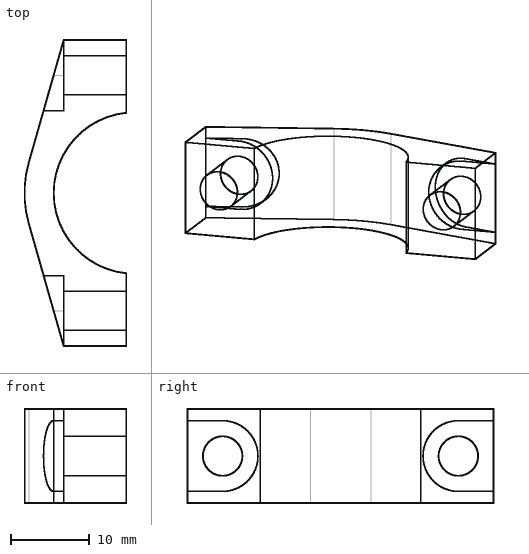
import cadquery as cq
import math

length = 39.0
height = 12.0
bore_radius = 10.25
outer_radius = 14.0
parting_gap = 1.0
ear_thickness = 8.0

screw_spacing = 30.0
screw_diameter = 5.0
head_seat_diameter = 9.0

half_length = length / 2
parting_x = -parting_gap
ear_x = parting_x - ear_thickness

ear_corner_angle = math.atan2(half_length, -ear_x)
ear_corner_distance = math.hypot(ear_x, half_length)
tangent_angle = ear_corner_angle - math.acos(outer_radius / ear_corner_distance)
tangent_x = -outer_radius * math.cos(tangent_angle)
tangent_y = outer_radius * math.sin(tangent_angle)


def make_body():
    """Clamp half with flanks tangent to the crown arc, and the bore cut through."""
    blank = (
        cq.Workplane("XY")
        .moveTo(parting_x, -half_length)
        .lineTo(parting_x, half_length)
        .lineTo(ear_x, half_length)
        .lineTo(tangent_x, tangent_y)
        .threePointArc((-outer_radius, 0), (tangent_x, -tangent_y))
        .lineTo(ear_x, -half_length)
        .close()
        .extrude(height / 2, both=True)
    )
    bore = cq.Workplane("XY").circle(bore_radius).extrude(height / 2, both=True)
    return blank.cut(bore)


def make_screw_cutter(side):
    """Screw hole and flat head seat for one ear; the seat runs out at the ear's end."""
    screw_y = side * screw_spacing / 2
    end_y = side * half_length
    hole = (
        cq.Workplane("YZ", origin=(-outer_radius, screw_y, 0))
        .circle(screw_diameter / 2)
        .extrude(outer_radius + parting_x)
    )
    seat_depth = outer_radius + ear_x
    seat = (
        cq.Workplane("YZ", origin=(-outer_radius, screw_y, 0))
        .circle(head_seat_diameter / 2)
        .extrude(seat_depth)
    )
    run_out = (
        cq.Workplane("YZ", origin=(-outer_radius, (screw_y + end_y) / 2, 0))
        .rect(abs(end_y - screw_y), head_seat_diameter)
        .extrude(seat_depth)
    )
    return hole.union(seat).union(run_out)


result = make_body()
for side in (-1, 1):
    result = result.cut(make_screw_cutter(side))